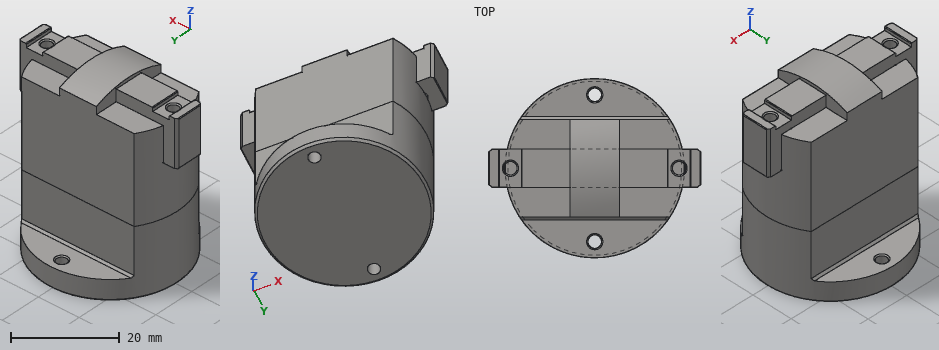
import cadquery as cq

column_diameter = 33.0
column_radius = column_diameter / 2
web_width = 18.0
overall_height = 40.9

flange_height = 4.95
split_height = 16.4
bottom_chamfer = 0.5
web_root_chamfer = 0.5
flange_hole_offset = 13.5

shoulder_height = 37.25
crown_width = 9.1
crown_edge_height = 39.05

clip_length = 39.0
clip_width = 7.0
clip_top = 40.1
leg_bottom = 28.85
pocket_floor = 39.2
pocket_inner_x = 13.5
pocket_outer_x = 17.5
leg_inner_x = pocket_inner_x
corner_chamfer_x = 0.6
corner_chamfer_y = 0.5
edge_break = 0.15
clip_hole_offset = (pocket_inner_x + pocket_outer_x) / 2

hole_diameter = 2.45
countersink_diameter = 3.0
countersink_depth = (countersink_diameter - hole_diameter) / 2


def screw_hole(x, y, mouth, bottom):
    """Vertical hole from bottom up to mouth, with a 45 degree countersink at the mouth."""
    hole_radius = hole_diameter / 2
    shank = cq.Solid.makeCylinder(hole_radius, mouth - bottom, cq.Vector(x, y, bottom))
    cone = cq.Solid.makeCone(
        hole_radius,
        countersink_diameter / 2,
        countersink_depth,
        cq.Vector(x, y, mouth - countersink_depth),
    )
    return cq.Workplane(shank).union(cq.Workplane(cone))


def column(bottom, top):
    """Full round stretch of the column."""
    return cq.Workplane("XY", origin=(0, 0, bottom)).circle(column_radius).extrude(top - bottom)


def make_base():
    """Round flange with a flat-sided web rising from it."""
    half_web = web_width / 2
    root = half_web + web_root_chamfer
    profile = (
        cq.Workplane("YZ")
        .moveTo(-column_radius, 0)
        .lineTo(column_radius, 0)
        .lineTo(column_radius, flange_height)
        .lineTo(root, flange_height)
        .lineTo(half_web, flange_height + web_root_chamfer)
        .lineTo(half_web, split_height)
        .lineTo(-half_web, split_height)
        .lineTo(-half_web, flange_height + web_root_chamfer)
        .lineTo(-root, flange_height)
        .lineTo(-column_radius, flange_height)
        .close()
        .extrude(column_radius, both=True)
    )
    base = column(0, split_height).faces("<Z").chamfer(bottom_chamfer).intersect(profile)
    for side in (-1, 1):
        base = base.cut(screw_hole(0, side * flange_hole_offset, flange_height, 0))
    return base


def clip_envelope():
    """Clip without pockets, edge breaks and holes: a bar with a leg at each end."""
    half_length = clip_length / 2
    return (
        cq.Workplane("XZ")
        .moveTo(-half_length, leg_bottom)
        .lineTo(-leg_inner_x, leg_bottom)
        .lineTo(-leg_inner_x, shoulder_height)
        .lineTo(leg_inner_x, shoulder_height)
        .lineTo(leg_inner_x, leg_bottom)
        .lineTo(half_length, leg_bottom)
        .lineTo(half_length, clip_top)
        .lineTo(-half_length, clip_top)
        .close()
        .extrude(clip_width / 2, both=True)
    )


def make_block():
    """Flat-sided block with an arched crown, slotted for the clip."""
    half_web = web_width / 2
    arched_profile = (
        cq.Workplane("YZ")
        .moveTo(-half_web, split_height)
        .lineTo(half_web, split_height)
        .lineTo(half_web, crown_edge_height)
        .threePointArc((0, overall_height), (-half_web, crown_edge_height))
        .close()
        .extrude(column_radius, both=True)
    )
    shoulders = column(split_height, shoulder_height)
    crown = cq.Workplane("XY", origin=(0, 0, shoulder_height)).rect(crown_width, web_width)
    crown = crown.extrude(overall_height - shoulder_height)
    return shoulders.union(crown).intersect(arched_profile).cut(clip_envelope())


def corner_plan():
    """Clip seen in plan, with its four vertical corners chamfered."""
    half_length = clip_length / 2
    half_width = clip_width / 2
    return (
        cq.Workplane("XY", origin=(0, 0, leg_bottom))
        .moveTo(0, -half_width)
        .lineTo(half_length - corner_chamfer_x, -half_width)
        .lineTo(half_length, -half_width + corner_chamfer_y)
        .lineTo(half_length, half_width - corner_chamfer_y)
        .lineTo(half_length - corner_chamfer_x, half_width)
        .lineTo(0, half_width)
        .close()
        .extrude(clip_top - leg_bottom)
    )


def clip_pocket():
    """Cutter for the pocket across one end of the bar, with broken upper edges."""
    return (
        cq.Workplane("XZ")
        .moveTo(pocket_inner_x, pocket_floor)
        .lineTo(pocket_outer_x, pocket_floor)
        .lineTo(pocket_outer_x, clip_top - edge_break)
        .lineTo(pocket_outer_x + edge_break, clip_top)
        .lineTo(pocket_inner_x - edge_break, clip_top)
        .lineTo(pocket_inner_x, clip_top - edge_break)
        .close()
        .extrude(clip_width / 2, both=True)
    )


def make_clip():
    """Bar through the block with a leg, a pocket and a screw hole at each end."""
    half_plan = corner_plan()
    plan = half_plan.union(half_plan.mirror("YZ"))
    clip = clip_envelope().edges("(<X or >X) and |Y").chamfer(edge_break).intersect(plan)
    pocket = clip_pocket()
    clip = clip.cut(pocket).cut(pocket.mirror("YZ"))
    for side in (-1, 1):
        clip = clip.cut(screw_hole(side * clip_hole_offset, 0, pocket_floor, leg_bottom))
    return clip


base = make_base()
block = make_block()
clip = make_clip()

result = cq.Compound.makeCompound([base.solids().val(), block.solids().val(), clip.solids().val()])